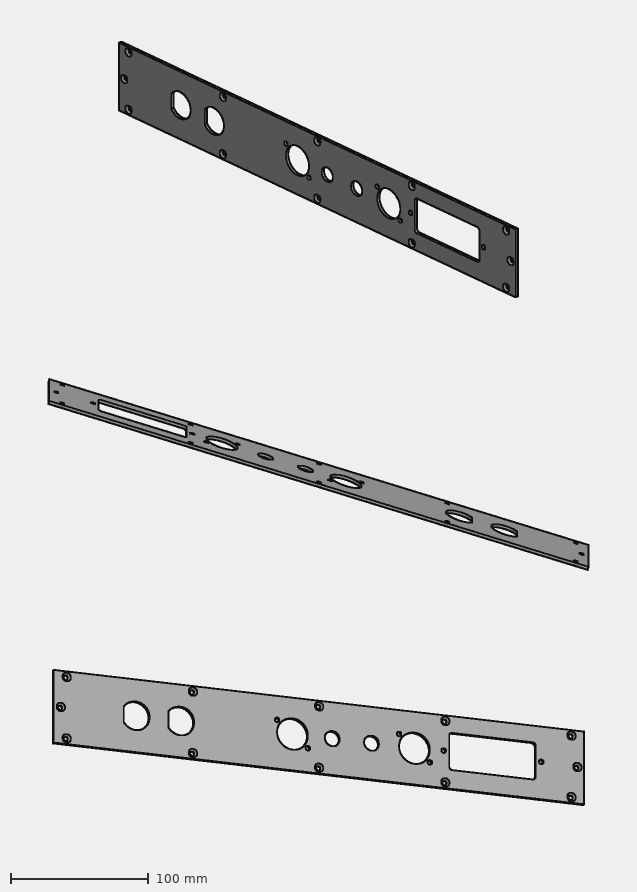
import cadquery as cq

length = 411.8
height = 55.5
thickness = 2.5

screw_hole_diameter = 3.2
countersink_diameter = 6.5
countersink_angle = 90
screw_pitch = 98.0
screw_columns = 5
screw_row_offset = 23.5
end_screw_offset = 200.5

flat_hole_diameter = 22.0
flat_hole_flat_offset = 9.0
flat_hole_centers = (-142.5, -108.0)

connector_diameter = 24.0
connector_centers = (-20.5, 74.0)
connector_fixing_diameter = 3.5
connector_fixing_dx = 12.0
connector_fixing_dz = 9.5

round_hole_diameter = 11.5
round_hole_centers = (10.3, 40.8)

window_width = 67.0
window_height = 28.5
window_corner_radius = 2.5
window_x = 134.5
window_z = 1.0
window_fixing_diameter = 3.6
window_fixing_offset = 38.0


def front_plane(x=0, z=0):
    """Sketch plane on the front face, with its normal pointing out of the panel."""
    return cq.Workplane("XZ", origin=(x, -thickness / 2, z))


def round_cutter(diameter, points):
    return front_plane().pushPoints(points).circle(diameter / 2).extrude(-thickness)


def flat_sided_cutter(x):
    """Round cutter trimmed by a flat on its -X side."""
    radius = flat_hole_diameter / 2
    trim_width = flat_hole_flat_offset + radius
    trim_center = (radius - flat_hole_flat_offset) / 2
    trim = front_plane(x + trim_center).rect(trim_width, flat_hole_diameter).extrude(-thickness)
    return round_cutter(flat_hole_diameter, [(x, 0)]).intersect(trim)


def window_cutter():
    cutter = front_plane(window_x, window_z).rect(window_width, window_height).extrude(-thickness)
    return cutter.edges("|Y").fillet(window_corner_radius)


panel = cq.Workplane("XY").box(length, thickness, height)

screw_points = [(side * end_screw_offset, 0) for side in (-1, 1)]
for column in range(screw_columns):
    x = (column - (screw_columns - 1) / 2) * screw_pitch
    screw_points += [(x, -screw_row_offset), (x, screw_row_offset)]
panel = (
    panel.faces("<Y").workplane(origin=(0, -thickness / 2, 0))
    .pushPoints(screw_points)
    .cskHole(screw_hole_diameter, countersink_diameter, countersink_angle)
)

for x in flat_hole_centers:
    panel = panel.cut(flat_sided_cutter(x))

for x in connector_centers:
    fixing_points = [
        (x - connector_fixing_dx, connector_fixing_dz),
        (x + connector_fixing_dx, -connector_fixing_dz),
    ]
    panel = panel.cut(round_cutter(connector_diameter, [(x, 0)]))
    panel = panel.cut(round_cutter(connector_fixing_diameter, fixing_points))

panel = panel.cut(round_cutter(round_hole_diameter, [(x, 0) for x in round_hole_centers]))

window_fixing_points = [(window_x + side * window_fixing_offset, window_z) for side in (-1, 1)]
panel = panel.cut(window_cutter())
panel = panel.cut(round_cutter(window_fixing_diameter, window_fixing_points))

result = panel